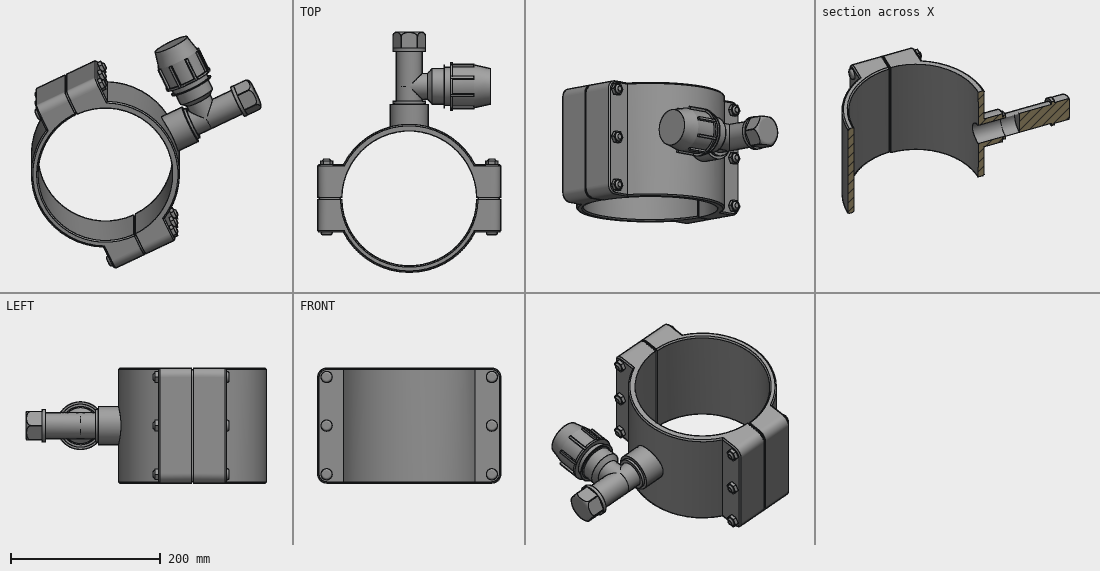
import cadquery as cq
import math

height = 154.0
bore_radius = 90.0
outer_radius = 99.0
edge_chamfer = 2.0
flange_span = 245.0
flange_reach = 45.2
flange_corner_radius = 12.5

parting_gap = 2.5
strip_inset = 2.0

bolt_x = 110.4
bolt_z = 65.0
head_diameter = 15.0
head_face_diameter = 9.4
head_height = 3.7
nut_across_flats = 14.5
nut_height = 5.0
tip_base_diameter = 12.0
tip_face_diameter = 7.0
tip_length = 2.7

boss_diameter = 51.2
boss_end_y = 125.7
port_diameter = 32.0
tube_diameter = 35.06
collar_diameter = 1.25 * tube_diameter
collar_end_y = 129.9
collar_length = 3.7
neck_diameter = 38.95
cap_end_y = 222.65
cap_hex_length = 21.7
cap_across_flats = 38.4
cap_rounding = 6.0
cap_rim_length = 4.8

branch_y = 149.7
shoulder_start_x = 24.7
socket_start_x = 30.6
thin_rim_start_x = 46.2
thin_rim_length = 1.0
nut_rim_start_x = 54.8
nut_rim_end_x = 57.7
grip_end_x = 87.0
fitting_end_x = 108.7
end_land_length = 0.8
socket_diameter = 48.0
thin_rim_diameter = 57.6
sleeve_diameter = 51.2
nut_rim_diameter = 64.0
grip_diameter = 57.6

rib_count = 8
rib_width = 3.3
rib_end_gap = 0.5


def cylinder_y(diameter, start_y, end_y):
    """Cylinder on the Y axis between two stations."""
    return cq.Workplane("XZ", origin=(0, start_y, 0)).circle(diameter / 2).extrude(start_y - end_y)


def hexagon_y(across_flats, start_y, end_y):
    """Hexagonal prism on the Y axis with corners at +X and -X."""
    across_corners = across_flats / math.cos(math.pi / 6)
    return cq.Workplane("XZ", origin=(0, start_y, 0)).polygon(6, across_corners).extrude(start_y - end_y)


def cone(start_diameter, end_diameter, length, start, direction):
    """Frustum that starts at a point and runs along a direction."""
    solid = cq.Solid.makeCone(
        start_diameter / 2, end_diameter / 2, length, cq.Vector(*start), cq.Vector(*direction)
    )
    return cq.Workplane(solid)


def make_clamp():
    """Barrel and flange block, still without bore and parting gap."""
    barrel = cq.Workplane("XY").circle(outer_radius).extrude(height / 2, both=True)
    barrel = barrel.edges("%CIRCLE").chamfer(edge_chamfer)
    flanges = (
        cq.Workplane("XZ")
        .rect(flange_span, height)
        .extrude(flange_reach, both=True)
        .edges("|Y")
        .fillet(flange_corner_radius)
        .faces("<Y or >Y")
        .chamfer(edge_chamfer)
    )
    return barrel.union(flanges)


def make_bore():
    """Pipe bore, chamfered at both ends of the -Y half only."""
    bore = cq.Workplane("XY").circle(bore_radius).extrude(height / 2, both=True)
    front_half = cq.Workplane("XY").box(flange_span, flange_span, height).translate((0, -flange_span / 2, 0))
    for side in (1, -1):
        countersink = cone(
            2 * (bore_radius + edge_chamfer),
            2 * bore_radius,
            edge_chamfer,
            (0, 0, side * height / 2),
            (0, 0, -side),
        )
        bore = bore.union(countersink.intersect(front_half))
    return bore


def make_parting_gap():
    """Space around the sealing strips between the two halves."""
    strip = (
        cq.Workplane("XZ")
        .rect(flange_span - 2 * strip_inset, height - 2 * strip_inset)
        .extrude(parting_gap / 2, both=True)
        .edges("|Y")
        .fillet(flange_corner_radius - strip_inset)
    )
    opening = cq.Workplane("XY").box(2 * (bore_radius + strip_inset), parting_gap, height)
    gap = cq.Workplane("XY").box(flange_span, parting_gap, height)
    return gap.cut(strip.cut(opening))


def make_bolt():
    """Head, and nut with bolt tip, of one bolt along the Y axis; the shank is solid with the flanges."""
    head_face_y = -flange_reach - head_height
    head_rounding = (head_diameter - head_face_diameter) / 2
    head = cylinder_y(head_diameter, head_face_y, -flange_reach).faces("<Y").edges().fillet(head_rounding)
    nut_end_y = flange_reach + nut_height
    nut = hexagon_y(nut_across_flats, flange_reach, nut_end_y)
    tip = cone(tip_base_diameter, tip_face_diameter, tip_length, (0, nut_end_y, 0), (0, 1, 0))
    return head, nut.union(tip)


def make_run():
    """Boss, collar, tube and hexagon cap along +Y."""
    hex_start_y = cap_end_y - cap_hex_length
    collar_start_y = collar_end_y - collar_length
    envelope = cylinder_y(collar_diameter, hex_start_y, cap_end_y).faces(">Y").edges().fillet(cap_rounding)
    cap = hexagon_y(cap_across_flats, hex_start_y, cap_end_y).intersect(envelope)
    return (
        cylinder_y(boss_diameter, bore_radius, boss_end_y)
        .union(cylinder_y(neck_diameter, bore_radius, collar_start_y))
        .union(cylinder_y(collar_diameter, collar_start_y, collar_end_y))
        .union(cylinder_y(tube_diameter, bore_radius, hex_start_y))
        .union(cylinder_y(collar_diameter, hex_start_y - cap_rim_length, hex_start_y))
        .union(cap)
    )


def make_branch():
    """Turned body of the compression fitting with its grip ribs."""
    thin_rim_end_x = thin_rim_start_x + thin_rim_length
    profile = [
        (0, 0),
        (0, tube_diameter / 2),
        (shoulder_start_x, tube_diameter / 2),
        (socket_start_x, socket_diameter / 2),
        (thin_rim_start_x, socket_diameter / 2),
        (thin_rim_start_x, thin_rim_diameter / 2),
        (thin_rim_end_x, thin_rim_diameter / 2),
        (thin_rim_end_x, sleeve_diameter / 2),
        (nut_rim_start_x, sleeve_diameter / 2),
        (nut_rim_start_x, nut_rim_diameter / 2),
        (nut_rim_end_x, nut_rim_diameter / 2),
        (nut_rim_end_x, grip_diameter / 2),
        (grip_end_x, grip_diameter / 2),
        (fitting_end_x - end_land_length, socket_diameter / 2),
        (fitting_end_x, socket_diameter / 2),
        (fitting_end_x, 0),
    ]
    branch = cq.Workplane("XY").polyline(profile).close().revolve(360, (0, 0, 0), (1, 0, 0))
    rib_length = grip_end_x - rib_end_gap - nut_rim_start_x
    rib = (
        cq.Workplane("XY")
        .box(rib_length, rib_width, nut_rim_diameter / 2, centered=(False, True, False))
        .translate((nut_rim_start_x, 0, 0))
    )
    rib_pitch = 360 / rib_count
    for index in range(rib_count):
        branch = branch.union(rib.rotate((0, 0, 0), (1, 0, 0), (index + 0.5) * rib_pitch))
    return branch.translate((0, branch_y, 0))


result = make_clamp().union(make_run()).union(make_branch())
result = result.cut(make_bore()).cut(make_parting_gap())
result = result.cut(cylinder_y(port_diameter, 0, branch_y))

head, nut = make_bolt()
for x in (-bolt_x, bolt_x):
    for z in (-bolt_z, 0, bolt_z):
        result = result.union(head.translate((x, 0, z))).union(nut.translate((x, 0, z)))